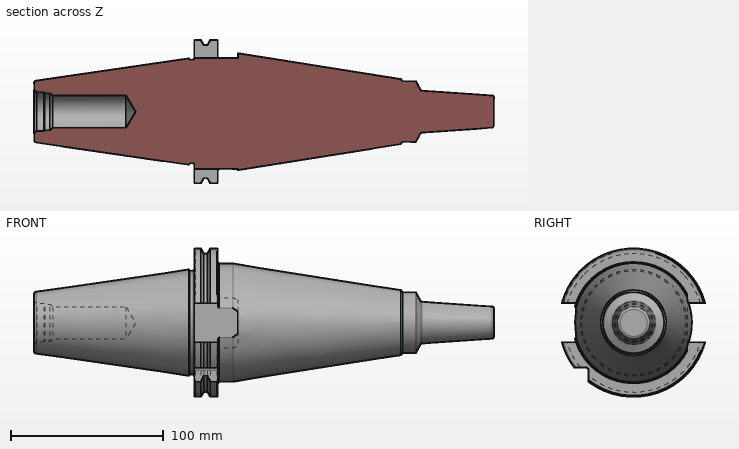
import cadquery as cq
import math


overall_length = 301.5
gauge_x = 101.5
flange_start = 105.0
flange_width = 15.7
neck_end = 130.3
body_end = 240.5
collar_end = 250.3
nose_start = 253.5

flange_end = flange_start + flange_width

gauge_radius = 70.0 / 2
shank_taper = 7 / 24 / 2
relief_radius = 68.2 / 2
flange_radius = 97.5 / 2
neck_radius = 77.8 / 2
body_end_radius = 42.8 / 2
collar_radius = 40.0 / 2
nose_root_radius = 27.7 / 2
nose_tip_radius = 21.0 / 2

shank_end_radius = gauge_radius - shank_taper * gauge_x
body_step = body_end_radius - collar_radius

end_fillet = 1.8
ring_fillet = 1.0
relief_run_in = 0.5

groove_floor_radius = 91.0 / 2
groove_floor_width = 2.5
groove_half_angle = 30
groove_floor_start = 111.3

slot_width = 25.5
slot_tail_width = 20.8
slot_end = 133.5
slot_corner = 1.8
slot_floor_front = 37.7
slot_floor_back = 35.3
notch_offset = 29.5
notch_fillet = 1.5

mouth_radius = 14.2
mouth_depth = 1.8
pilot_radius = 12.7
pilot_depth = 6.5
recess_radius = 12.0
recess_depth = 10.5
thread_radius = 10.5
thread_start = 12.5
bore_depth = 60.3
drill_tip_half_angle = 59


def turn(points):
    """Revolve a closed (x, radius) outline about the X axis."""
    return cq.Workplane("XY").polyline(points).close().revolve(360, (0, 0, 0), (1, 0, 0))


def round_rings(body, x, size):
    """Fillet every circular edge centred on the axis at the given x."""
    near = 0.03
    rings = cq.selectors.BoxSelector((x - near, -near, -near), (x + near, near, near))
    return body.edges(rings).fillet(size)


def turned_body():
    """Shank, flange, neck, body cone, collar and nose as one turned solid with rounded edges."""
    body = turn([
        (0, 0),
        (0, shank_end_radius),
        (gauge_x, gauge_radius),
        (gauge_x + relief_run_in, relief_radius),
        (flange_start, relief_radius),
        (flange_start, flange_radius),
        (flange_end, flange_radius),
        (flange_end, neck_radius),
        (neck_end, neck_radius),
        (body_end, body_end_radius),
        (body_end + body_step, collar_radius),
        (collar_end, collar_radius),
        (nose_start, nose_root_radius),
        (overall_length, nose_tip_radius),
        (overall_length, 0),
    ])
    for x in (0, overall_length):
        body = round_rings(body, x, end_fillet)
    for x in (flange_start, flange_end, collar_end, nose_start):
        body = round_rings(body, x, ring_fillet)
    return body


def gripper_groove():
    """Ring of V section with a flat floor, cut into the flange rim."""
    floor_end = groove_floor_start + groove_floor_width
    flare = (flange_radius - groove_floor_radius) * math.tan(math.radians(groove_half_angle))
    return turn([
        (groove_floor_start, groove_floor_radius),
        (groove_floor_start - flare, flange_radius),
        (floor_end + flare, flange_radius),
        (floor_end, groove_floor_radius),
    ])


def slot_block(start_x, end_x, width, floor):
    """Block between two x positions that clears everything beyond y = floor."""
    return (
        cq.Workplane("XY")
        .box(end_x - start_x, flange_radius, width, centered=(False, False, True))
        .translate((start_x, floor, 0))
    )


def front_slot():
    """Drive slot on the -Y side, with a narrower round-cornered tail in the neck."""
    slot = slot_block(flange_start, flange_end, slot_width, slot_floor_front)
    tail = slot_block(flange_start, slot_end, slot_tail_width, slot_floor_front)
    tail = tail.edges(">X and |Y").fillet(slot_corner)
    return slot.union(tail).mirror("XZ")


def back_slot():
    """Drive slot on the +Y side; past the flange it becomes a flat across the whole neck."""
    slot = slot_block(flange_start, flange_end, slot_width, slot_floor_back)
    flat = slot_block(flange_end, slot_end, 2 * neck_radius, slot_floor_back)
    return slot.union(flat)


def orientation_notch():
    """Square notch through the flange rim at the -Y, -Z corner."""
    return (
        cq.Workplane("XY")
        .box(flange_width, flange_radius, flange_radius, centered=False)
        .edges("<Y and <Z")
        .fillet(notch_fillet)
        .translate((flange_start, notch_offset, notch_offset))
        .rotate((0, 0, 0), (1, 0, 0), 180)
    )


def drawbar_bore():
    """Stepped blind bore from the shank end, closed by a drill-point cone."""
    tip_length = thread_radius / math.tan(math.radians(drill_tip_half_angle))
    return turn([
        (0, 0),
        (0, mouth_radius),
        (mouth_depth, pilot_radius),
        (pilot_depth, pilot_radius),
        (pilot_depth + pilot_radius - recess_radius, recess_radius),
        (recess_depth, recess_radius),
        (thread_start, thread_radius),
        (bore_depth, thread_radius),
        (bore_depth + tip_length, 0),
    ])


result = (
    turned_body()
    .cut(gripper_groove())
    .cut(front_slot())
    .cut(back_slot())
    .cut(orientation_notch())
    .cut(drawbar_bore())
)